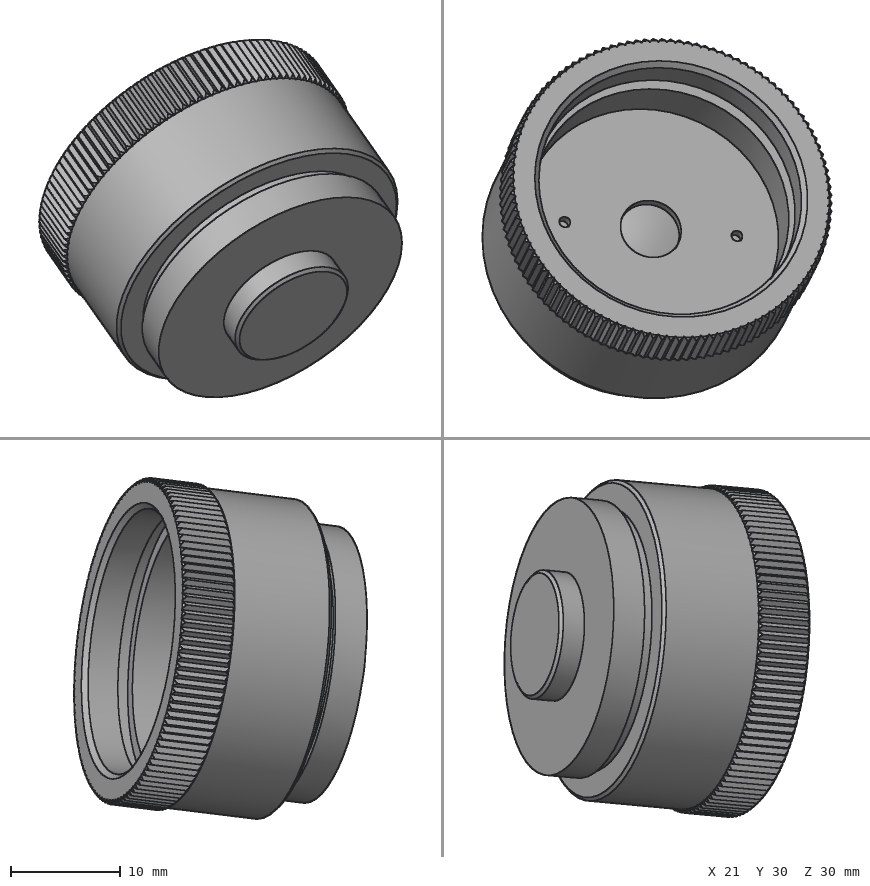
import cadquery as cq
import math

knurl_radius = 15.0
knurl_end = 5.05
body_radius = 14.7
body_end = 14.52
neck_radius = 12.1
neck_end = 15.5
flange_radius = 12.72
flange_end = 18.57
tip_radius = 5.9
tip_end = 20.97
edge_chamfer = 0.3

tooth_count = 116
groove_angle = 90.0

bore_radius = 12.2
mouth_chamfer = 0.48
bore_end = 3.35
undercut_radius = 13.15
undercut_end = 4.65
chamber_radius = 11.88
chamber_end = 9.33

lens_radius = 2.82
lens_depth = 0.93
dome_radius = 8.4

pin_hole_radius = 0.5
pin_hole_offset = 8.0
pin_hole_depth = 1.0


def disc(radius, start, end):
    """Cylinder about the X axis from x = start to x = end."""
    return cq.Workplane("YZ").workplane(offset=start).circle(radius).extrude(end - start)


def knurled_ring():
    """Toothed ring with both ends chamfered."""
    half_pitch = math.pi / tooth_count
    half_crest_width = knurl_radius * math.sin(half_pitch)
    groove_depth = half_crest_width / math.tan(math.radians(groove_angle / 2))
    root_radius = knurl_radius * math.cos(half_pitch) - groove_depth
    outline = []
    for i in range(2 * tooth_count):
        radius = root_radius if i % 2 else knurl_radius
        angle = i * half_pitch
        outline.append((radius * math.cos(angle), radius * math.sin(angle)))
    toothed = cq.Workplane("YZ").polyline(outline).close().extrude(knurl_end)
    crest_margin = 0.03
    blank = disc(knurl_radius + crest_margin, 0, knurl_end).edges().chamfer(edge_chamfer + crest_margin)
    return toothed.intersect(blank)


def outer_shape():
    """Solid outside of the part, from the knurled ring to the narrow tip."""
    body = disc(body_radius, knurl_end, body_end).faces(">X").edges().chamfer(edge_chamfer)
    neck = disc(neck_radius, body_end, neck_end)
    flange = disc(flange_radius, neck_end, flange_end)
    tip = disc(tip_radius, flange_end, tip_end).faces(">X").edges().chamfer(edge_chamfer)
    return knurled_ring().union(body).union(neck).union(flange).union(tip)


def bore():
    """Stepped bore from the mouth to the chamber floor."""
    profile = [
        (0, 0),
        (0, bore_radius + mouth_chamfer),
        (mouth_chamfer, bore_radius),
        (bore_end, bore_radius),
        (bore_end, undercut_radius),
        (undercut_end, undercut_radius),
        (undercut_end, chamber_radius),
        (chamber_end, chamber_radius),
        (chamber_end, 0),
    ]
    return cq.Workplane("XY").polyline(profile).close().revolve(360, (0, 0, 0), (1, 0, 0))


def lens_opening():
    """Round recess whose floor bulges back towards the mouth."""
    rim = chamber_end + lens_depth
    dome_centre = rim + math.sqrt(dome_radius**2 - lens_radius**2)
    dome = cq.Workplane("XY").sphere(dome_radius).translate((dome_centre, 0, 0))
    return disc(lens_radius, chamber_end, rim).cut(dome)


def pin_hole(offset):
    """Blind hole in the chamber floor, offset along Y."""
    return disc(pin_hole_radius, chamber_end, chamber_end + pin_hole_depth).translate((0, offset, 0))


result = outer_shape().cut(bore()).cut(lens_opening())
for side in (-1, 1):
    result = result.cut(pin_hole(side * pin_hole_offset))